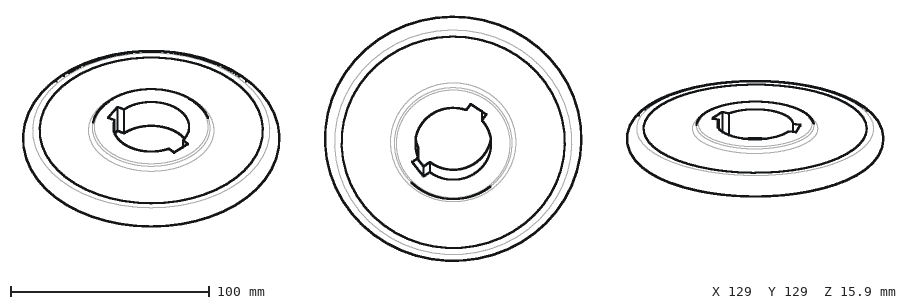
import cadquery as cq
import math

outer_diameter = 129.0
rim_section_radius = 6.0
rim_center_radius = outer_diameter / 2 - rim_section_radius

disc_radius = 123.2 / 2
disc_half_thickness = 5.5
disc_edge_radius = 2.0

hub_half_height = 15.88 / 2
hub_face_radius = 28.6
hub_edge_radius = 1.0
hub_root_radius = 2.0

bore_radius = 38.1 / 2
keyway_width = 9.525
keyway_reach = 22.3
keyway_angles = (0, 198)


def sloped(center, radius, angle):
    """Point on an arc, angle in radians from +Z towards +X; a negative radius starts from -Z instead."""
    return (center[0] + radius * math.sin(angle), center[1] + radius * math.cos(angle))


def disc_half():
    """Upper half of the disc with its hub, as a turned solid above the mid-plane."""
    rise = hub_half_height - disc_half_thickness
    blend_radii = hub_edge_radius + hub_root_radius
    slope = math.acos(1 - rise / blend_radii)
    root_radius = hub_face_radius + blend_radii * math.sin(slope)

    edge_center = (hub_face_radius, hub_half_height - hub_edge_radius)
    root_center = (root_radius, disc_half_thickness + hub_root_radius)
    rounding_center = (disc_radius - disc_edge_radius, disc_half_thickness - disc_edge_radius)

    return (
        cq.Workplane("XZ")
        .lineTo(0, hub_half_height)
        .lineTo(hub_face_radius, hub_half_height)
        .threePointArc(
            sloped(edge_center, hub_edge_radius, slope / 2),
            sloped(edge_center, hub_edge_radius, slope),
        )
        .threePointArc(
            sloped(root_center, -hub_root_radius, slope / 2),
            (root_radius, disc_half_thickness),
        )
        .lineTo(rounding_center[0], disc_half_thickness)
        .threePointArc(
            sloped(rounding_center, disc_edge_radius, math.pi / 4),
            (disc_radius, rounding_center[1]),
        )
        .lineTo(disc_radius, 0)
        .close()
        .revolve(360, (0, 0, 0), (0, 1, 0))
    )


def make_blank():
    """Disc and hub, the same on both sides of the mid-plane, before boring."""
    upper = disc_half()
    return upper.union(upper.mirror("XY")).clean()


def bore_cutter():
    """Through bore together with its keyways."""
    cutter = cq.Workplane("XY").circle(bore_radius).extrude(hub_half_height, both=True)
    for angle in keyway_angles:
        keyway = (
            cq.Workplane("XY")
            .box(keyway_reach, keyway_width, 2 * hub_half_height, centered=(False, True, True))
            .rotate((0, 0, 0), (0, 0, 1), angle)
        )
        cutter = cutter.union(keyway)
    return cutter


def make_rim(disc_blank):
    """Round-section ring with a recess that matches the edge of the disc."""
    ring = (
        cq.Workplane("XZ", origin=(rim_center_radius, 0, 0))
        .transformed(rotate=(0, 0, 180))
        .circle(rim_section_radius)
        .revolve(360, (rim_center_radius, 0, 0), (rim_center_radius, 1, 0))
    )
    return ring.cut(disc_blank)


blank = make_blank()
disc = blank.cut(bore_cutter())
rim = make_rim(blank)

result = cq.Compound.makeCompound([disc.val(), rim.val()])